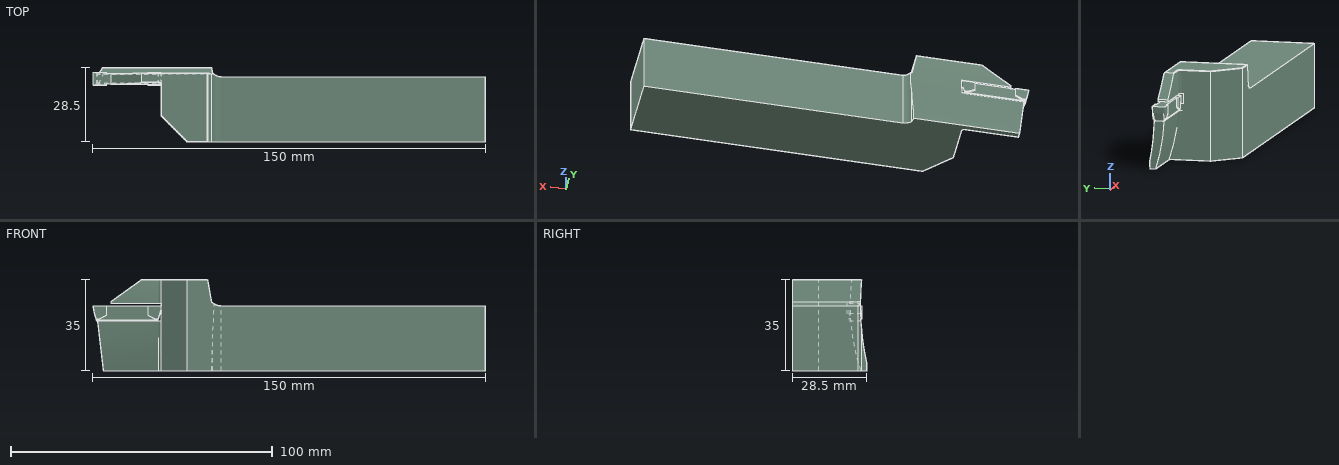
import cadquery as cq
import math

TOTAL_LENGTH = 150.0
SHANK_SIZE = 25.0
HEAD_TOP = 35.0
OUTER_LIMIT = 28.5

FACE_X = 26.0
CORNER_CUT = 10.0
STEP_ANGLE = 10.0
STEP_TOP_X = 43.9
SWEEP_LENGTH = 3.5
SWEEP_HEIGHT = 1.5
SIDE_STEP_X = 45.4
EDGE_BREAK = 0.25

OUTER_RADIUS = 100.0
OUTER_Y = 26.05
INNER_RADIUS = 78.0
INNER_Y = 22.1
ROOT_ROUND = 0.95
BLADE_TIP_X = 1.75
BLADE_FOOT_X = 4.0
CLAMP_TIP_X = 6.9
CLAMP_TIP_TOP = 26.6
CLAMP_BOTTOM = 25.8
CLAMP_TOP_X = 18.6

SEAT_Z = 19.2
INSERT_LENGTH = 26.2
INSERT_WIDTH = 5.0
CORE_WIDTH = 4.0
HEAD_LENGTH = 5.2
HEAD_SIDE_BOTTOM = 21.4
HEAD_FOOT_Z = 20.0
HEAD_FOOT_START = 1.3
HEAD_FOOT_END = 2.6
RELIEF_X = 0.45
RELIEF_Z = 22.3
CORE_END = 1.4
CORNER_RADIUS = 0.4
FOOT_CHAMFER = 0.4
INSERT_SHIFT = 0.1
INSERT_MIDDLE_Y = (INNER_Y + OUTER_Y) / 2 + INSERT_SHIFT

POCKET_Y = 20.8
POCKET_BOTTOM = 22.0

NEAR = 0.1
MARGIN = 5.0


def arc_y(vertex_y, radius, z):
    """Y of a blade face at height z."""
    return vertex_y + radius - math.sqrt(radius**2 - (z - SHANK_SIZE) ** 2)


def box(x0, x1, y0, y1, z0, z1):
    return cq.Workplane("XY").box(x1 - x0, y1 - y0, z1 - z0, centered=False).translate((x0, y0, z0))


def prism_along_y(points, y0, y1):
    """Outline in X and Z, extruded from y0 to y1."""
    return cq.Workplane("XZ", origin=(0, y0, 0)).polyline(points).close().extrude(y0 - y1)


def section(inner_y, x0, x1):
    """Full-height slab from x0 to x1, between a flat side at inner_y and the curved outer face."""
    middle_z = HEAD_TOP / 2
    flat_top = SHANK_SIZE - math.sqrt(OUTER_RADIUS**2 - (OUTER_Y + OUTER_RADIUS - OUTER_LIMIT) ** 2)
    return (
        cq.Workplane("YZ", origin=(x0, 0, 0))
        .moveTo(inner_y, 0)
        .lineTo(OUTER_LIMIT, 0)
        .lineTo(OUTER_LIMIT, flat_top)
        .threePointArc(
            (arc_y(OUTER_Y, OUTER_RADIUS, middle_z), middle_z),
            (arc_y(OUTER_Y, OUTER_RADIUS, HEAD_TOP), HEAD_TOP),
        )
        .lineTo(inner_y, HEAD_TOP)
        .close()
        .extrude(x1 - x0)
    )


def step_outline(plane, top_x, top):
    """Block from the head's face that steps down at the rear to the shank size."""
    break_height = SHANK_SIZE + SWEEP_HEIGHT
    break_x = top_x + (top - break_height) * math.tan(math.radians(STEP_ANGLE))
    return (
        cq.Workplane(plane)
        .moveTo(TOTAL_LENGTH, 0)
        .lineTo(TOTAL_LENGTH, SHANK_SIZE)
        .lineTo(break_x + SWEEP_LENGTH, SHANK_SIZE)
        .tangentArcPoint((break_x, break_height), relative=False)
        .lineTo(top_x, top)
        .lineTo(FACE_X, top)
        .lineTo(FACE_X, 0)
        .close()
    )


def make_head_and_shank():
    side = step_outline("XZ", STEP_TOP_X, HEAD_TOP).extrude(-OUTER_LIMIT)
    plan = step_outline("XY", SIDE_STEP_X, OUTER_LIMIT).extrude(HEAD_TOP)
    curved = section(0, FACE_X, STEP_TOP_X + MARGIN)
    square = box(FACE_X, TOTAL_LENGTH, 0, SHANK_SIZE, 0, HEAD_TOP)
    corner = (
        cq.Workplane("XY")
        .polyline([(FACE_X, 0), (FACE_X + CORNER_CUT, 0), (FACE_X, CORNER_CUT)])
        .close()
        .extrude(HEAD_TOP)
    )
    return side.intersect(plan).intersect(square.union(curved)).cut(corner)


def make_blade():
    """Full-height curved slab from which the blade and the clamp are cut."""
    inside = (
        cq.Workplane("YZ", origin=(-MARGIN, 0, 0))
        .center(INNER_Y + INNER_RADIUS, SHANK_SIZE)
        .circle(INNER_RADIUS)
        .extrude(FACE_X + 2 * MARGIN)
    )
    slab = section(INNER_Y - MARGIN, 0, FACE_X + MARGIN / 2)
    return slab.intersect(inside)


def make_holder():
    holder = make_head_and_shank().union(make_blade())
    root = cq.selectors.BoxSelector(
        (FACE_X - NEAR, INNER_Y - NEAR, 0), (FACE_X + NEAR, OUTER_LIMIT, HEAD_TOP)
    )
    holder = holder.edges(root).fillet(ROOT_ROUND)
    holder = holder.faces(">Z").chamfer(EDGE_BREAK)
    gap = prism_along_y(
        [
            (-MARGIN, 0),
            (BLADE_FOOT_X, 0),
            (BLADE_TIP_X, SEAT_Z),
            (FACE_X, SEAT_Z),
            (FACE_X, CLAMP_BOTTOM),
            (CLAMP_TIP_X, CLAMP_BOTTOM),
            (CLAMP_TIP_X, CLAMP_TIP_TOP),
            (CLAMP_TOP_X, HEAD_TOP),
            (CLAMP_TOP_X, HEAD_TOP + MARGIN),
            (-MARGIN, HEAD_TOP + MARGIN),
        ],
        INNER_Y - MARGIN,
        OUTER_LIMIT + MARGIN,
    )
    pocket = box(FACE_X, INSERT_LENGTH, POCKET_Y, OUTER_LIMIT, POCKET_BOTTOM, CLAMP_BOTTOM)
    return holder.cut(gap).cut(pocket)


def make_insert():
    half_core = CORE_WIDTH / 2
    half_width = INSERT_WIDTH / 2
    core = prism_along_y(
        [
            (RELIEF_X, SHANK_SIZE),
            (RELIEF_X, RELIEF_Z),
            (CORE_END, SEAT_Z),
            (INSERT_LENGTH - CORE_END, SEAT_Z),
            (INSERT_LENGTH - RELIEF_X, RELIEF_Z),
            (INSERT_LENGTH - RELIEF_X, SHANK_SIZE),
        ],
        -half_core,
        half_core,
    )
    core = core.faces("<Z").edges("|X").chamfer(FOOT_CHAMFER)
    head = prism_along_y(
        [
            (0, SHANK_SIZE),
            (RELIEF_X, RELIEF_Z),
            (HEAD_FOOT_START, HEAD_FOOT_Z),
            (HEAD_FOOT_END, HEAD_FOOT_Z),
            (HEAD_LENGTH, HEAD_SIDE_BOTTOM),
            (HEAD_LENGTH, SHANK_SIZE),
        ],
        -half_width,
        half_width,
    )
    corners = cq.selectors.BoxSelector(
        (-NEAR, -MARGIN, HEAD_FOOT_Z), (HEAD_FOOT_START, MARGIN, SHANK_SIZE)
    )
    head = head.edges(corners).edges("not |Y").fillet(CORNER_RADIUS)
    middle = (INSERT_LENGTH / 2, 0, 0)
    rear_head = head.rotate(middle, (INSERT_LENGTH / 2, 0, 1), 180)
    return core.union(head).union(rear_head).translate((0, INSERT_MIDDLE_Y, 0))


holder = make_holder()
insert = make_insert()

result = cq.Compound.makeCompound([holder.solids().val(), insert.solids().val()])